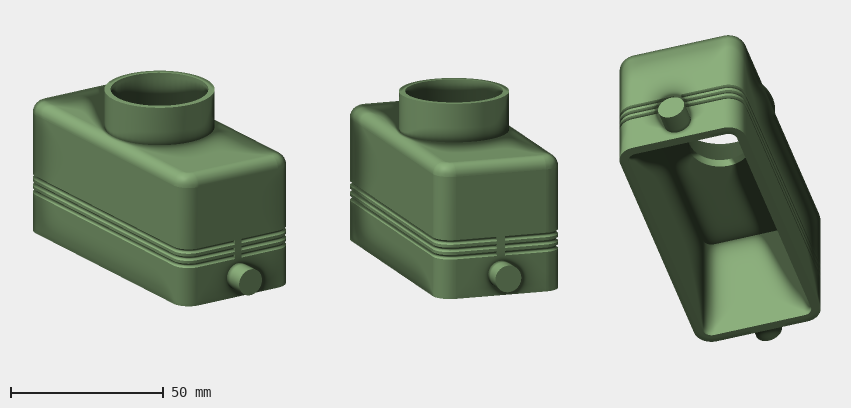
import cadquery as cq

body_length = 93.4
body_width = 43.0
body_height = 45.0
corner_radius = 5.9
top_edge_radius = 4.0

roof_thickness = 3.0
wall_thickness = 3.0
cavity_corner_radius = corner_radius - wall_thickness

neck_height = 13
neck_diameter = 36.1
neck_bore_diameter = 32.0
entry_hole_diameter = 21.0

overall_length = 108
peg_diameter = 9.0
peg_height = 7.1

groove_count = 3
groove_pitch = 2.5
groove_depth = 1.0
groove_mouth = 1.5
groove_tip_radius = 0.27
lowest_groove_height = 14.0
groove_gap = 2.7


def rounded_block(length, width, height, radius):
    """Upright block on the base plane with rounded vertical corners."""
    block = cq.Workplane("XY").box(length, width, height, centered=(True, True, False))
    return block.edges("|Z").fillet(radius)


def hood():
    block = rounded_block(body_length, body_width, body_height, corner_radius)
    return block.faces(">Z").edges().fillet(top_edge_radius)


def cavity():
    return rounded_block(
        body_length - 2 * wall_thickness,
        body_width - 2 * wall_thickness,
        body_height - roof_thickness,
        cavity_corner_radius,
    )


def upright_cylinder(diameter, bottom, height):
    return cq.Workplane("XY").workplane(offset=bottom).circle(diameter / 2).extrude(height)


def peg(side):
    """Round peg reaching outward from the end wall on the given side (+1 or -1)."""
    peg_length = (overall_length - body_length) / 2
    wall = cq.Workplane("YZ").workplane(offset=side * body_length / 2).center(0, peg_height)
    return wall.circle(peg_diameter / 2).extrude(side * peg_length)


def groove(height):
    """Ring of V section with a rounded tip swept around the body, leaving a gap at each end wall."""
    half_width = body_width / 2
    tip_start = groove_depth - groove_tip_radius
    outline_block = rounded_block(body_length, body_width, body_height, corner_radius)
    path = outline_block.translate((0, 0, height)).faces("<Z").wires()
    section = (
        cq.Workplane("YZ", origin=(0, -half_width, height))
        .moveTo(0, -groove_mouth / 2)
        .lineTo(tip_start, -groove_tip_radius)
        .threePointArc((groove_depth, 0), (tip_start, groove_tip_radius))
        .lineTo(0, groove_mouth / 2)
        .close()
    )
    ring = section.sweep(path)
    gap = cq.Workplane("XY").workplane(offset=height).box(overall_length, groove_gap, groove_pitch)
    return ring.cut(gap)


result = hood()
result = result.union(upright_cylinder(neck_diameter, body_height, neck_height))
for side in (-1, 1):
    result = result.union(peg(side))
result = result.cut(cavity())
result = result.cut(upright_cylinder(neck_bore_diameter, body_height, neck_height))
result = result.cut(upright_cylinder(entry_hole_diameter, 0, body_height))
for index in range(groove_count):
    result = result.cut(groove(lowest_groove_height + index * groove_pitch))